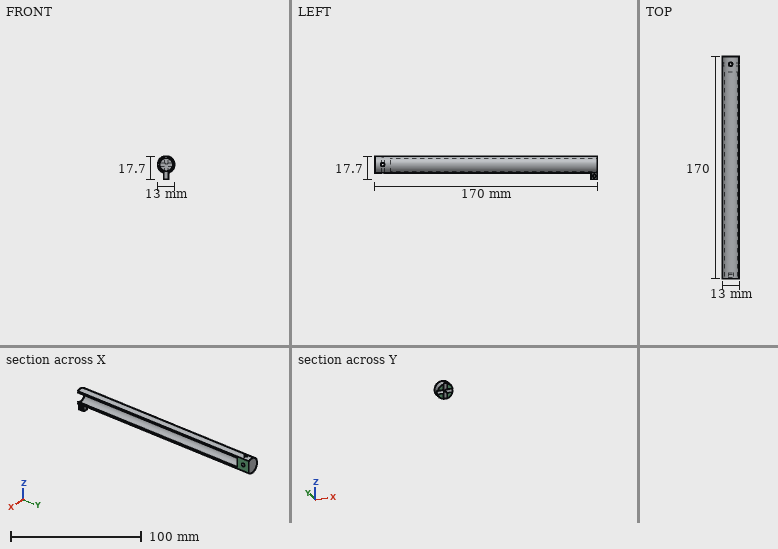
import cadquery as cq

tube_length = 170.0
tube_diameter = 13.0
bore_diameter = 10.0

pin_hole_diameter = 2.5
pin_hole_inset = 6.0
plug_length = 2 * pin_hole_inset

overall_height = 17.7
lug_width = 3.9
lug_length = 5.0
lug_hole_diameter = 2.0

open_end_y = -tube_length / 2
closed_end_y = tube_length / 2
tube_radius = tube_diameter / 2
lug_bottom_z = tube_radius - overall_height
lug_hole_y = open_end_y + lug_length / 2
lug_hole_z = lug_bottom_z + lug_length / 2


def rod_along_y(diameter, length):
    """Cylinder on the Y axis, growing toward +Y from the open end."""
    start = cq.Workplane("XZ", origin=(0, open_end_y, 0))
    return start.circle(diameter / 2).extrude(-length)


def cross_drill(plane, diameter, y, z=0):
    """Cutter on the given plane, long enough to pass right through the tube."""
    centre = cq.Workplane(plane, origin=(0, y, z))
    return centre.circle(diameter / 2).extrude(tube_diameter, both=True)


def make_lug():
    """Block reaching from the tube axis down to the lug bottom."""
    block = cq.Workplane("XY").box(lug_width, lug_length, -lug_bottom_z, centered=(True, False, False))
    return block.translate((0, open_end_y, lug_bottom_z))


body = rod_along_y(tube_diameter, tube_length).union(make_lug())
body = body.cut(rod_along_y(bore_diameter, tube_length - plug_length))

for plane in ("XY", "YZ"):
    body = body.cut(cross_drill(plane, pin_hole_diameter, closed_end_y - pin_hole_inset))

result = body.cut(cross_drill("YZ", lug_hole_diameter, lug_hole_y, lug_hole_z))